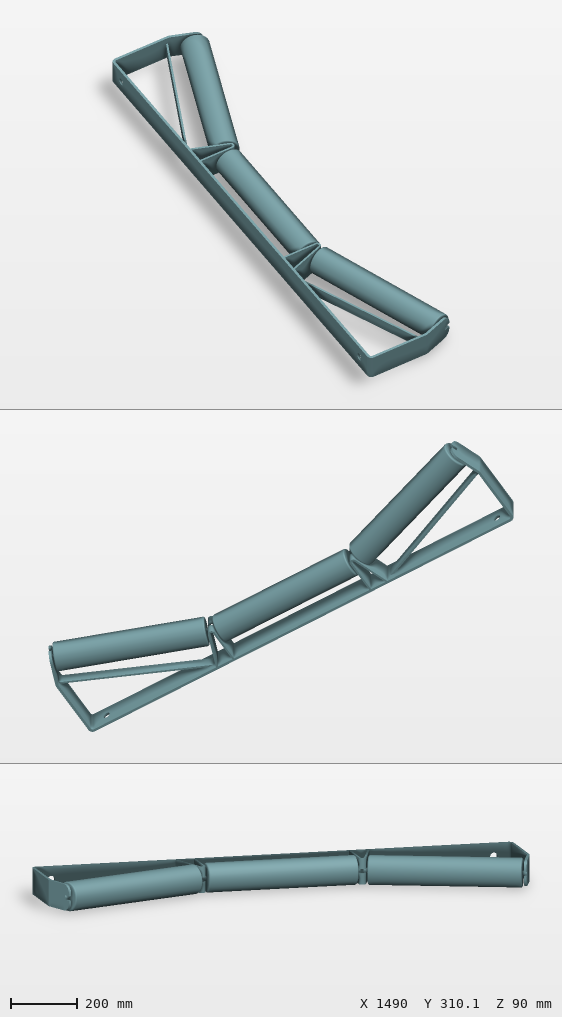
import cadquery as cq
import math

FRAME_LENGTH = 1490.0
STRAP_WIDTH = 80.0
STRAP_THICKNESS = 8.2
BEND_RADIUS = 15.0
TIP_HEIGHT = 28.0
TIP_CORNER_RADIUS = 27.0
TROUGH_ANGLE = 20.0

ROLLER_DIAMETER = 90.0
ROLLER_LENGTH = 463.0
ROLLER_EDGE_RADIUS = 5.0
CENTRE_ROLLER_HEIGHT = 100.0
SIDE_ROLLER_X = 487.0
SIDE_ROLLER_HEIGHT = 190.0

AXLE_DIAMETER = 20.0
AXLE_FLAT_WIDTH = 13.0
SEAT_GAP = 6.0

MOUNTING_HOLE_DIAMETER = 22.0
MOUNTING_HOLE_INSET = 60.0

BRACKET_THICKNESS = 6.0
BRACKET_BEND_RADIUS = 11.2

STRUT_WIDTH = 36.0
STRUT_THICKNESS = 6.0
STRUT_FOOT_X = 311.0
STRUT_TOP_HEIGHT = 195.0

HALF_LENGTH = FRAME_LENGTH / 2
TILT = math.radians(TROUGH_ANGLE)
SIN_TILT = math.sin(TILT)
COS_TILT = math.cos(TILT)
SEAT_DISTANCE = ROLLER_LENGTH / 2 + SEAT_GAP
AXLE_LENGTH = 2 * (SEAT_DISTANCE + STRAP_THICKNESS)
LEFT, CENTRE, RIGHT = -1, 0, 1


def extrude_strap(points, width=STRAP_WIDTH):
    """Extrude a closed polygon in the XY plane, centred on Z = 0."""
    return cq.Workplane("XY").workplane(offset=-width / 2).polyline(points).close().extrude(width)


def x_cylinder(diameter, length):
    """Cylinder along X, centred on the origin."""
    return cq.Workplane("YZ").workplane(offset=-length / 2).circle(diameter / 2).extrude(length)


def place_on_roller(shape, side):
    """Move a shape from the X axis to the axis of the left, centre or right roller."""
    height = CENTRE_ROLLER_HEIGHT if side == CENTRE else SIDE_ROLLER_HEIGHT
    turned = shape.rotate((0, 0, 0), (0, 0, 1), side * TROUGH_ANGLE)
    return turned.translate((side * SIDE_ROLLER_X, height, 0))


def side_roller_point(along, above):
    """Point in XY at a distance along the right roller's axis and a distance above it."""
    x = SIDE_ROLLER_X + along * COS_TILT - above * SIN_TILT
    y = SIDE_ROLLER_HEIGHT + along * SIN_TILT + above * COS_TILT
    return x, y


def make_axle(length):
    """Round axle along X with two flats facing +Z and -Z."""
    flats = cq.Workplane("XY").box(length, AXLE_DIAMETER, AXLE_FLAT_WIDTH)
    return x_cylinder(AXLE_DIAMETER, length).intersect(flats)


def make_roller(side):
    """Drum with rounded end edges on its axle."""
    drum = x_cylinder(ROLLER_DIAMETER, ROLLER_LENGTH).faces("<X or >X").edges().fillet(ROLLER_EDGE_RADIUS)
    return place_on_roller(drum.union(make_axle(AXLE_LENGTH)), side)


def make_slots(side):
    """Cutter for the slots at both ends of a roller: seats for its axle, open upwards."""
    cut_length = AXLE_LENGTH + STRAP_THICKNESS
    channel = cq.Workplane("XY").box(
        cut_length, ROLLER_DIAMETER, AXLE_FLAT_WIDTH, centered=(True, False, True)
    )
    return place_on_roller(channel.union(make_axle(cut_length)), side)


def make_tip_waste(side):
    """Cutter that trims the walls beyond a side roller's axle to a tip with rounded corners."""
    length = 2 * AXLE_LENGTH
    waste = cq.Workplane("XY").box(length, STRAP_WIDTH, 2 * STRAP_WIDTH, centered=(True, False, True))
    tip = (
        cq.Workplane("XY").box(length, 2 * TIP_HEIGHT, STRAP_WIDTH)
        .edges("|X and >Y").fillet(TIP_CORNER_RADIUS)
    )
    return place_on_roller(waste.cut(tip), side)


def make_frame_prism(inset, wall_top, bend_radius):
    """Frame's filled shape, shrunk by an inset, with its four bends rounded."""
    wall_x = HALF_LENGTH - inset
    top_x, top_y = side_roller_point(AXLE_LENGTH / 2 - inset, wall_top)
    bend_y = top_y - (wall_x - top_x) / math.tan(TILT)
    points = [
        (-wall_x, inset),
        (wall_x, inset),
        (wall_x, bend_y),
        (top_x, top_y),
        (-top_x, top_y),
        (-wall_x, bend_y),
    ]
    return extrude_strap(points).edges("|Z").edges("<X or >X or <Y").fillet(bend_radius)


def make_frame():
    """Base strap with both ends bent up into walls that lean square to the side rollers."""
    outside = make_frame_prism(0, STRAP_WIDTH / 2, BEND_RADIUS)
    inside = make_frame_prism(STRAP_THICKNESS, STRAP_WIDTH, BEND_RADIUS - STRAP_THICKNESS)
    frame = outside.cut(inside)
    for side in (LEFT, RIGHT):
        frame = frame.cut(make_tip_waste(side)).cut(make_slots(side))
    hole_x = HALF_LENGTH - MOUNTING_HOLE_INSET
    holes = (
        cq.Workplane("XZ").pushPoints([(-hole_x, 0), (hole_x, 0)])
        .circle(MOUNTING_HOLE_DIAMETER / 2).extrude(-STRAP_THICKNESS)
    )
    return frame.cut(holes)


def make_bracket_prism(inset, bend_radius):
    """Right bracket's filled wedge, shrunk by an inset, with its top edge rounded."""
    upright_x = SEAT_DISTANCE + inset
    seat_x, seat_y = side_roller_point(-SEAT_DISTANCE - inset, 0)
    apex_y = seat_y + (seat_x - upright_x) / math.tan(TILT)
    foot_x = seat_x + (seat_y - STRAP_THICKNESS) * math.tan(TILT)
    points = [(upright_x, STRAP_THICKNESS), (upright_x, apex_y), (foot_x, STRAP_THICKNESS)]
    return extrude_strap(points).edges("|Z and >Y").fillet(bend_radius)


def make_bracket(side):
    """Bent strap with an upright leg for the centre roller and a leaning leg for a side roller."""
    outside = make_bracket_prism(0, BRACKET_BEND_RADIUS)
    inside = make_bracket_prism(BRACKET_THICKNESS, BRACKET_BEND_RADIUS - BRACKET_THICKNESS)
    bracket = outside.cut(inside)
    if side == LEFT:
        bracket = bracket.mirror("YZ")
    return bracket.cut(make_slots(CENTRE)).cut(make_slots(side))


def make_strut(side):
    """Flat diagonal brace from the base up to a side wall."""
    wall_x = HALF_LENGTH - STRAP_THICKNESS
    slope = math.atan2(STRUT_TOP_HEIGHT - STRAP_THICKNESS, wall_x - STRUT_FOOT_X)
    points = [
        (STRUT_FOOT_X, STRAP_THICKNESS),
        (wall_x, STRUT_TOP_HEIGHT),
        (wall_x, STRUT_TOP_HEIGHT - STRUT_THICKNESS / math.cos(slope)),
        (STRUT_FOOT_X + STRUT_THICKNESS / math.sin(slope), STRAP_THICKNESS),
    ]
    return extrude_strap([(side * x, y) for x, y in points], STRUT_WIDTH)


frame = make_frame()
rollers = [make_roller(side) for side in (LEFT, CENTRE, RIGHT)]
brackets = [make_bracket(side) for side in (LEFT, RIGHT)]
struts = [make_strut(side) for side in (LEFT, RIGHT)]

result = cq.Compound.makeCompound([body.val() for body in [frame, *rollers, *brackets, *struts]])